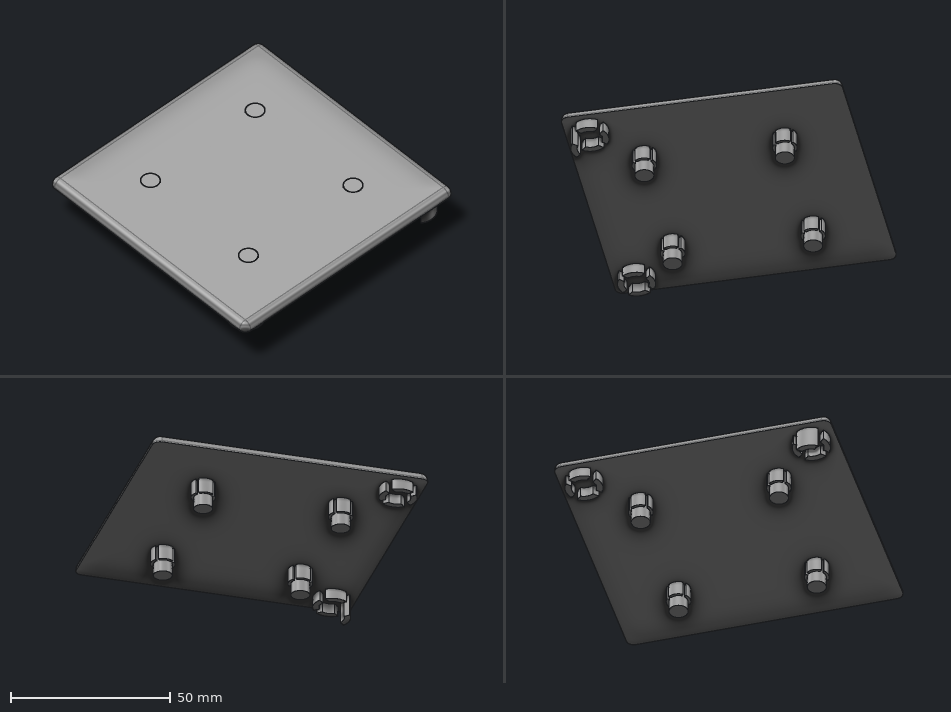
import cadquery as cq

PLATE_SIDE = 90.0
PLATE_THICKNESS = 3.0
EDGE_RADIUS = 2.5

PIN_SPACING = 45.0
PIN_DIAMETER = 6.0
PIN_DROP = 9.0
PIN_CLEARANCE = 0.15
COLLAR_DIAMETER = 7.75
COLLAR_DROP = 5.0
COLLAR_SLOT = 1.0

RING_OUTER_DIAMETER = 12.0
RING_INNER_DIAMETER = 8.0
RING_OFFSET = 37.0
RING_DROP = 3.5
RING_SLOT = 2.0
TAB_DROP = 7.25

SLOT_ANGLES = (45, 135)


def make_plate():
    """Plate with equal rounds on the upright corners and along the top rim."""
    plate = cq.Workplane("XY").box(PLATE_SIDE, PLATE_SIDE, PLATE_THICKNESS, centered=(True, True, False))
    plate = plate.edges("|Z").fillet(EDGE_RADIUS)
    return plate.faces(">Z").edges().fillet(EDGE_RADIUS)


def slotted_ring(outer_diameter, inner_diameter, slot_width, drop):
    """Ring hanging from Z = 0, cut into four sectors by a diagonal cross of slots."""
    ring = cq.Workplane("XY").circle(outer_diameter / 2).circle(inner_diameter / 2).extrude(-drop)
    for angle in SLOT_ANGLES:
        slot = cq.Workplane("XY").rect(2 * outer_diameter, slot_width).extrude(-drop)
        ring = ring.cut(slot.rotate((0, 0, 0), (0, 0, 1), angle))
    return ring


def make_corner_ring():
    return slotted_ring(RING_OUTER_DIAMETER, RING_INNER_DIAMETER, RING_SLOT, RING_DROP)


def make_tab():
    """The +X sector of a corner ring, at the longer tab length."""
    sectors = slotted_ring(RING_OUTER_DIAMETER, RING_INNER_DIAMETER, RING_SLOT, TAB_DROP)
    return sectors.solids(">X")


def make_pin():
    """Pin from the plate top down to its tip."""
    pin_length = PLATE_THICKNESS + PIN_DROP
    return cq.Workplane("XY").workplane(offset=-PIN_DROP).circle(PIN_DIAMETER / 2).extrude(pin_length)


def make_clearance_hole():
    """Plate hole that leaves a thin annular gap around the pin."""
    return cq.Workplane("XY").circle(PIN_DIAMETER / 2 + PIN_CLEARANCE).extrude(PLATE_THICKNESS)


def make_collar():
    """Slotted collar that grips the pin and joins it to the plate underside."""
    return slotted_ring(COLLAR_DIAMETER, PIN_DIAMETER, COLLAR_SLOT, COLLAR_DROP)


result = make_plate()

for x_side in (-1, 1):
    for y_side in (-1, 1):
        pin_place = (x_side * PIN_SPACING / 2, y_side * PIN_SPACING / 2, 0)
        result = result.cut(make_clearance_hole().translate(pin_place))
        result = result.union(make_collar().translate(pin_place))
        result = result.union(make_pin().translate(pin_place))

for y_side in (-1, 1):
    result = result.union(make_corner_ring().translate((RING_OFFSET, y_side * RING_OFFSET, 0)))
result = result.union(make_tab().translate((RING_OFFSET, RING_OFFSET, 0)))